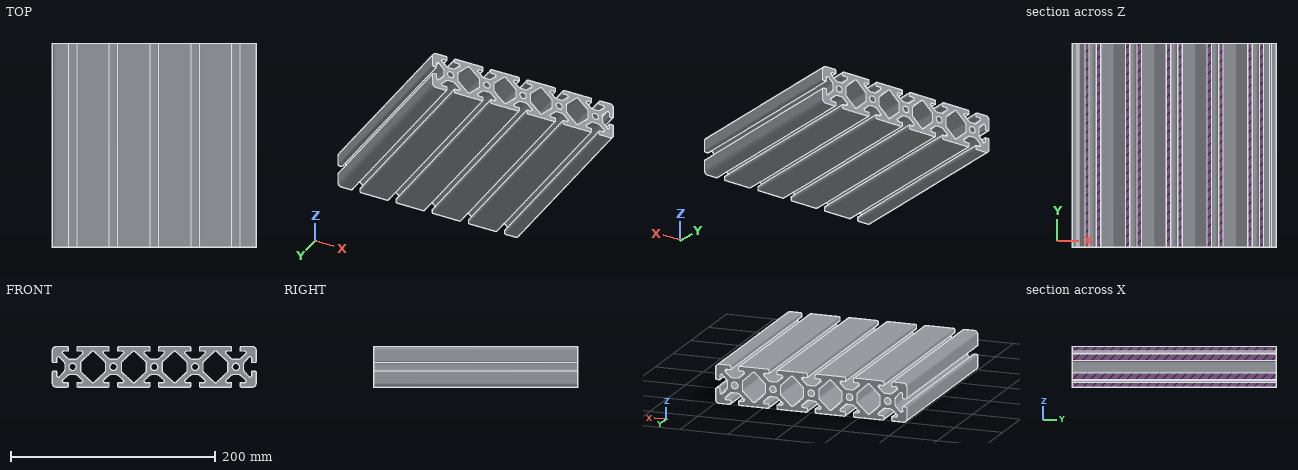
import cadquery as cq

module = 40.0
module_count = 5
length = 200.0
width = module * module_count
corner_radius = 4.0

slot_opening = 8.2
slot_depth = 12.4
lip_thickness = 4.5
lip_radius = 1.5
lip_root_radius = 0.4
cavity_width = 20.0
cavity_floor_width = 7.8
cavity_wall_depth = 6.6
cavity_roof_radius = 1.8
cavity_floor_radius = 4.0

bore_diameter = 6.8

hollow_width = 24.0
hollow_height = 32.1
hollow_side_height = 9.6
hollow_corner_radius = 1.5

module_centers = [(i - (module_count - 1) / 2) * module for i in range(module_count)]
hollow_centers = [x + module / 2 for x in module_centers[:-1]]


def along_length(outline):
    """Extrude a closed XZ outline over the full length of the part."""
    return outline.extrude(length / 2, both=True)


def make_body():
    block = cq.Workplane("XY").box(width, length, module)
    return block.edges("|Y").fillet(corner_radius)


def make_slot():
    """T-slot cutter opening upward, placed on the top face of a module at the origin."""
    top = module / 2
    half_opening = slot_opening / 2
    half_cavity = cavity_width / 2
    roof = top - lip_thickness
    wall_end = top - cavity_wall_depth
    floor = top - slot_depth
    half_floor = cavity_floor_width / 2

    cavity = along_length(
        cq.Workplane("XZ").polyline([
            (-half_cavity, roof),
            (half_cavity, roof),
            (half_cavity, wall_end),
            (half_floor, floor),
            (-half_floor, floor),
            (-half_cavity, wall_end),
        ]).close()
    )
    cavity = cavity.edges("|Y and >Z").fillet(cavity_roof_radius)
    cavity = cavity.edges("|Y and <Z").fillet(cavity_floor_radius)

    mouth = along_length(
        cq.Workplane("XZ")
        .moveTo(-half_opening, roof)
        .lineTo(-half_opening, top - lip_radius)
        .radiusArc((-half_opening - lip_radius, top), -lip_radius)
        .lineTo(half_opening + lip_radius, top)
        .radiusArc((half_opening, top - lip_radius), -lip_radius)
        .lineTo(half_opening, roof)
        .close()
    )
    cutter = cavity.union(mouth)

    lip_roots = cq.selectors.BoxSelector(
        (-half_opening - lip_root_radius, -length, roof - lip_root_radius),
        (half_opening + lip_root_radius, length, roof + lip_root_radius),
    )
    return cutter.edges("|Y").edges(lip_roots).fillet(lip_root_radius)


def make_hollow():
    """Hollow with vertical side walls and sloping flanks that meet at the top and bottom."""
    half_width = hollow_width / 2
    half_side = hollow_side_height / 2
    half_height = hollow_height / 2
    hollow = along_length(
        cq.Workplane("XZ").polyline([
            (0, half_height),
            (half_width, half_side),
            (half_width, -half_side),
            (0, -half_height),
            (-half_width, -half_side),
            (-half_width, half_side),
        ]).close()
    )
    return hollow.edges("|Y").fillet(hollow_corner_radius)


def make_bore():
    return along_length(cq.Workplane("XZ").circle(bore_diameter / 2))


def turned(cutter, angle):
    """Rotate a cutter about the length axis."""
    return cutter.rotate((0, 0, 0), (0, 1, 0), angle)


slot = make_slot()
hollow = make_hollow()
bore = make_bore()

result = make_body()

for x in module_centers:
    result = result.cut(slot.translate((x, 0, 0)))
    result = result.cut(turned(slot, 180).translate((x, 0, 0)))
    result = result.cut(bore.translate((x, 0, 0)))

for x in hollow_centers:
    result = result.cut(hollow.translate((x, 0, 0)))

result = result.cut(turned(slot, -90).translate((module_centers[0], 0, 0)))
result = result.cut(turned(slot, 90).translate((module_centers[-1], 0, 0)))